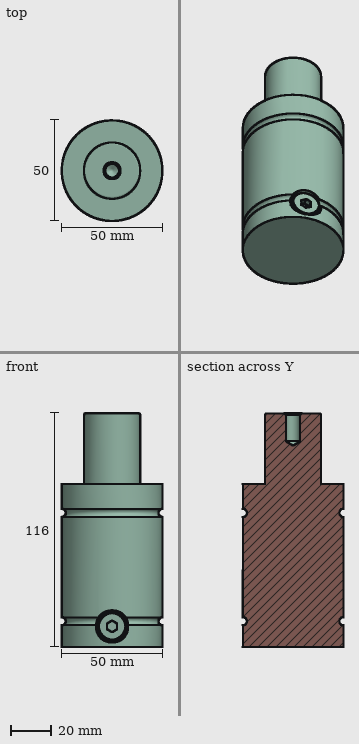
import cadquery as cq
import math

total_height = 116.0
body_diameter = 50.0
body_height = 81.0
rod_diameter = 28.0
rod_edge_radius = 1.0

groove_radius = 2.0
groove_heights = (12.9, 66.6)

hole_diameter = 6.8
hole_mouth_diameter = 8.5
hole_depth = 13.9
drill_point_angle = 118.0

plug_height = 10.3
pocket_diameter = 16.0
pocket_depth = 4.1
plug_diameter = 14.0
plug_recess = 0.7
plug_chamfer = 0.5
socket_across_flats = 5.0
socket_depth = 3.5

body_radius = body_diameter / 2


def disc(diameter, height, base):
    """Upright cylinder on the Z axis, starting at the given height."""
    return cq.Workplane("XY").workplane(offset=base).circle(diameter / 2).extrude(height)


def groove_ring(height):
    """Torus that cuts a half-round groove into the body surface."""
    ring = cq.Solid.makeTorus(body_radius, groove_radius, cq.Vector(0, 0, height))
    return cq.Workplane(obj=ring)


def rod_hole():
    """Drilled hole with a conical bottom and a 45 degree chamfered mouth."""
    radius = hole_diameter / 2
    mouth_radius = hole_mouth_diameter / 2
    mouth_depth = mouth_radius - radius
    floor = total_height - hole_depth
    tip = floor - radius / math.tan(math.radians(drill_point_angle / 2))
    return (
        cq.Workplane("XZ")
        .moveTo(0, tip)
        .lineTo(radius, floor)
        .lineTo(radius, total_height - mouth_depth)
        .lineTo(mouth_radius, total_height)
        .lineTo(0, total_height)
        .close()
        .revolve(360, (0, 0, 0), (0, 1, 0))
    )


def plug_plane(depth):
    """Plane facing -Y at the plug centre, a given depth below the body surface."""
    return cq.Workplane("XZ", origin=(0, depth - body_radius, plug_height))


def plug():
    """Chamfered plug with a hexagon socket, standing on the pocket floor."""
    socket_across_corners = socket_across_flats / math.cos(math.pi / 6)
    head = (
        plug_plane(pocket_depth)
        .circle(plug_diameter / 2)
        .extrude(pocket_depth - plug_recess)
        .faces("<Y")
        .chamfer(plug_chamfer)
    )
    socket = (
        plug_plane(plug_recess)
        .transformed(rotate=(0, 0, 90))
        .polygon(6, socket_across_corners)
        .extrude(-socket_depth)
    )
    return head.cut(socket)


body = disc(body_diameter, body_height, 0)
for groove_height in groove_heights:
    body = body.cut(groove_ring(groove_height))

pocket = plug_plane(pocket_depth).circle(pocket_diameter / 2).extrude(pocket_depth)
body = body.cut(pocket).union(plug())

rod = disc(rod_diameter, total_height - body_height, body_height)
rod = rod.faces(">Z").fillet(rod_edge_radius).cut(rod_hole())

result = body.union(rod)